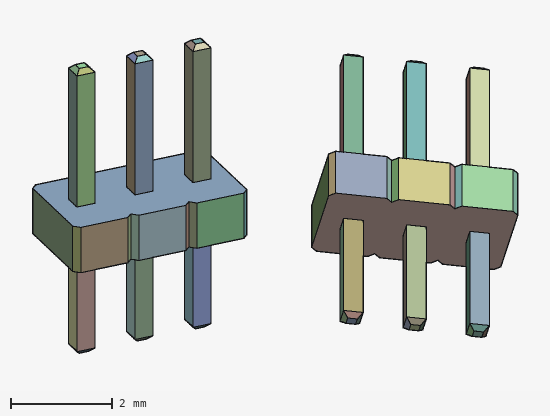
import cadquery as cq

pin_count = 3
row_length = 3.81
pitch = row_length / pin_count
body_width = 2.1
body_height = 1.0
corner_chamfer = 0.12

total_height = 6.3
pin_side = 0.4
pin_above_body = 3.0
pin_taper = 0.1
pin_bottom = body_height + pin_above_body - total_height


def cell_center(index):
    """Y position of a cell, with the row centered on the origin."""
    return (index - (pin_count - 1) / 2) * pitch


def housing_cell(y):
    """Block with chamfered vertical edges; neighbors meet in V notches."""
    return (
        cq.Workplane("XY")
        .center(0, y)
        .rect(body_width, pitch)
        .extrude(body_height)
        .edges("|Z")
        .chamfer(corner_chamfer)
    )


def pin(y):
    """Full-height square pin with all four edges of each end chamfered."""
    return (
        cq.Workplane("XY", origin=(0, y, pin_bottom))
        .rect(pin_side, pin_side)
        .extrude(total_height)
        .faces("<Z or >Z")
        .chamfer(pin_taper)
    )


centers = [cell_center(i) for i in range(pin_count)]

result = housing_cell(centers[0])
for y in centers[1:]:
    result = result.union(housing_cell(y))
result = result.clean()
for y in centers:
    result = result.union(pin(y))